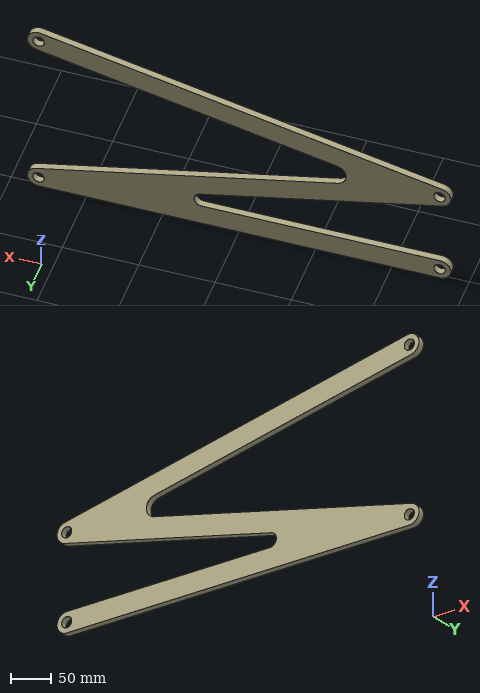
import cadquery as cq
import math

length = 555.0
height = 265.0
thickness = 10.0

end_radius = 15.0
hole_diameter = 15.0
left_pivot_rise = 124.5
upper_notch_radius = 15.0
lower_notch_radius = 10.0

pivot_x = length / 2 - end_radius
pivot_z = height / 2 - end_radius
top_right = (pivot_x, pivot_z)
mid_left = (-pivot_x, -pivot_z + left_pivot_rise)
bottom_right = (pivot_x, -pivot_z)
bottom_left = (-pivot_x, -pivot_z)
pivots = [top_right, mid_left, bottom_right, bottom_left]


def plate_plane():
    """XZ plane at the back face, extruding toward -Y."""
    return cq.Workplane("XZ", origin=(0, thickness / 2, 0))


def arm(start, end):
    """Flat bar with round ends centred on two pivots."""
    dx = end[0] - start[0]
    dz = end[1] - start[1]
    span = math.hypot(dx, dz)
    angle = math.degrees(math.atan2(dz, dx))
    return (
        plate_plane()
        .center((start[0] + end[0]) / 2, (start[1] + end[1]) / 2)
        .slot2D(span + 2 * end_radius, 2 * end_radius, angle)
        .extrude(thickness)
    )


def notch_corner(apex, upper_end, lower_end):
    """Point where the facing edges of two arms sharing the apex pivot meet."""
    upper_tilt = math.atan((upper_end[1] - apex[1]) / (upper_end[0] - apex[0]))
    lower_tilt = math.atan((lower_end[1] - apex[1]) / (lower_end[0] - apex[0]))
    half_angle = abs(upper_tilt - lower_tilt) / 2
    bisector_tilt = (upper_tilt + lower_tilt) / 2
    reach = math.copysign(end_radius / math.sin(half_angle), upper_end[0] - apex[0])
    return (
        apex[0] + reach * math.cos(bisector_tilt),
        apex[1] + reach * math.sin(bisector_tilt),
    )


def round_notch(body, corner, radius):
    """Fillet the through-thickness edge at a notch corner."""
    nearest = cq.selectors.NearestToPointSelector((corner[0], 0, corner[1]))
    return body.edges("|Y").edges(nearest).fillet(radius)


plate = arm(mid_left, top_right)
plate = plate.union(arm(mid_left, bottom_right))
plate = plate.union(arm(bottom_left, bottom_right))

upper_corner = notch_corner(mid_left, top_right, bottom_right)
lower_corner = notch_corner(bottom_right, mid_left, bottom_left)
plate = round_notch(plate, upper_corner, upper_notch_radius)
plate = round_notch(plate, lower_corner, lower_notch_radius)

holes = plate_plane().pushPoints(pivots).circle(hole_diameter / 2).extrude(thickness)
result = plate.cut(holes)